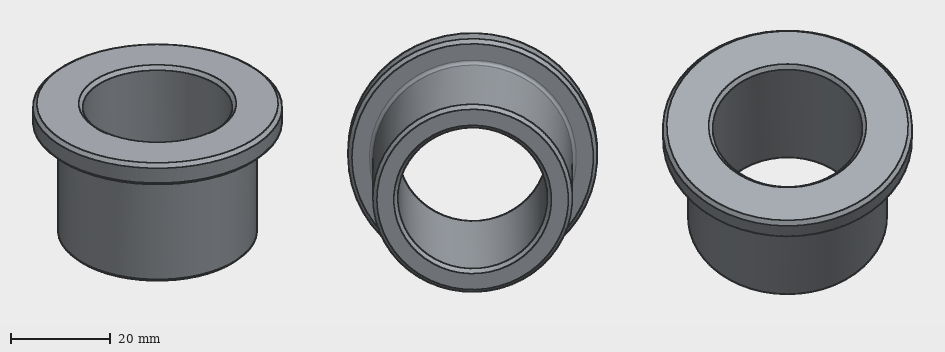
import cadquery as cq

flange_diameter = 50
sleeve_diameter = 40
bore_diameter = 30
total_height = 30
flange_thickness = 5
edge_chamfer = 0.8
neck_fillet = 0.75

sleeve_height = total_height - flange_thickness

body = (
    cq.Workplane("XY")
    .circle(sleeve_diameter / 2)
    .extrude(sleeve_height)
    .faces(">Z")
    .workplane()
    .circle(flange_diameter / 2)
    .extrude(flange_thickness)
)

body = body.faces(">Z").workplane().hole(bore_diameter)

body = body.faces(">Z or <Z").edges().chamfer(edge_chamfer)

underside = cq.NearestToPointSelector((0, 0, sleeve_height))
largest_circle = cq.selectors.RadiusNthSelector(-1)
smallest_circle = cq.selectors.RadiusNthSelector(0)
body = body.faces(underside).edges(largest_circle).chamfer(edge_chamfer)
result = body.faces(underside).edges(smallest_circle).fillet(neck_fillet)